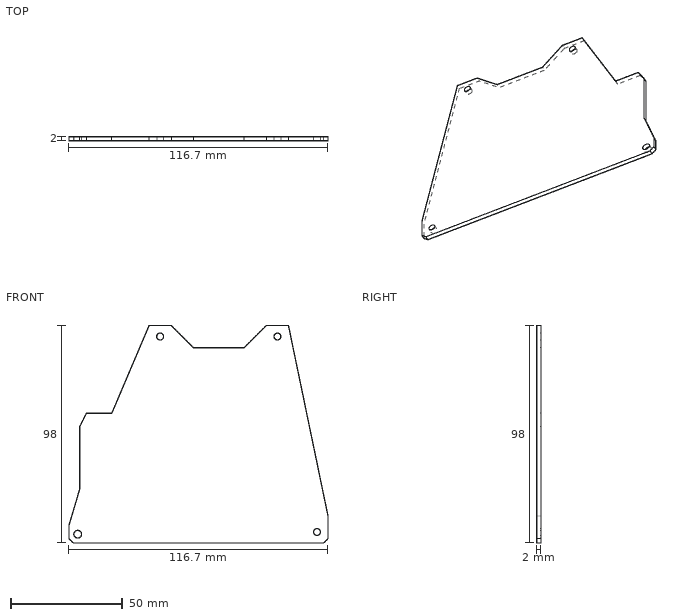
import cadquery as cq

plate_width = 116.7
plate_height = 98.0
plate_thickness = 2.0

corner_chamfer = 2.0
left_foot_top = 8.0
right_foot_top = 12.3

wall_inset = 4.9
wall_bottom = 24.5
wall_top = 52.5
shoulder_height = 58.5
shoulder_start = 7.9
shoulder_end = 19.3

left_tab_start = 36.1
right_tab_end = 98.9
tab_width = 10.0
notch_depth = 10.0

hole_diameter = 3.0
lower_left_hole_diameter = 3.4
lower_left_hole_inset = 4.0
hole_inset = 5.0


def plate():
    """Flat plate with its lower left corner at the origin."""
    left_tab_end = left_tab_start + tab_width
    right_tab_start = right_tab_end - tab_width
    notch_floor = plate_height - notch_depth
    outline = [
        (corner_chamfer, 0),
        (plate_width - corner_chamfer, 0),
        (plate_width, corner_chamfer),
        (plate_width, right_foot_top),
        (right_tab_end, plate_height),
        (right_tab_start, plate_height),
        (right_tab_start - notch_depth, notch_floor),
        (left_tab_end + notch_depth, notch_floor),
        (left_tab_end, plate_height),
        (left_tab_start, plate_height),
        (shoulder_end, shoulder_height),
        (shoulder_start, shoulder_height),
        (wall_inset, wall_top),
        (wall_inset, wall_bottom),
        (0, left_foot_top),
        (0, corner_chamfer),
    ]
    return cq.Workplane("XZ").polyline(outline).close().extrude(-plate_thickness)


def hole_cutters(centers, diameter):
    """Cylinders through the plate thickness at the given XZ centers."""
    return cq.Workplane("XZ").pushPoints(centers).circle(diameter / 2).extrude(-plate_thickness)


tab_hole_height = plate_height - hole_inset
standard_holes = [
    (left_tab_start + hole_inset, tab_hole_height),
    (right_tab_end - hole_inset, tab_hole_height),
    (plate_width - hole_inset, hole_inset),
]

result = (
    plate()
    .cut(hole_cutters(standard_holes, hole_diameter))
    .cut(hole_cutters([(lower_left_hole_inset, lower_left_hole_inset)], lower_left_hole_diameter))
)